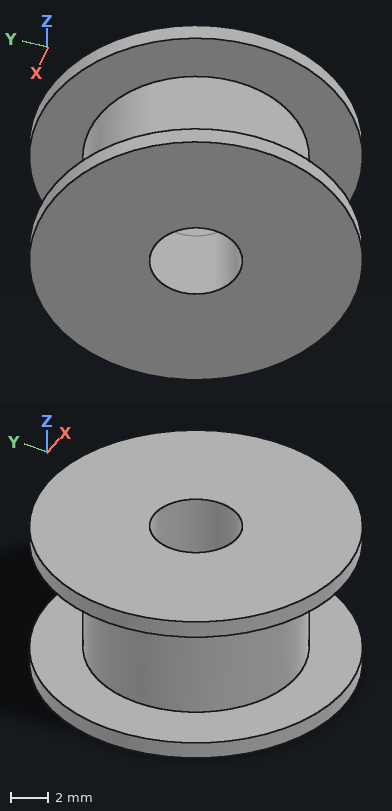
import cadquery as cq

flange_diameter = 18.0
hub_diameter = 12.22
bore_diameter = 5.0
total_height = 9.0
flange_thickness = 1.0

hub_height = total_height - 2 * flange_thickness


def add_flange(body, face):
    """Add a flange disc outward from the given end face of the body."""
    return body.faces(face).workplane().circle(flange_diameter / 2).extrude(flange_thickness)


spool = cq.Workplane("XY").circle(hub_diameter / 2).extrude(hub_height / 2, both=True)

for end_face in (">Z", "<Z"):
    spool = add_flange(spool, end_face)

bore = cq.Workplane("XY").circle(bore_diameter / 2).extrude(total_height / 2, both=True)
result = spool.cut(bore)